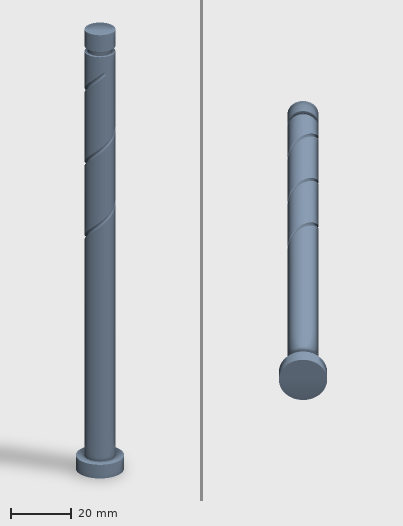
import cadquery as cq
import math

total_height = 160.0
head_diameter = 16.0
head_height = 5.0
shaft_diameter = 10.2
shaft_radius = shaft_diameter / 2

tip_height = 6.0
ring_groove_width = 2.0
ring_groove_diameter = 8.2

helix_pitch = 26.7
helix_turns = 2.75
helix_start_z = 72.3
helix_start_angle = 90.0
helix_groove_radius = 0.6


def make_pin():
    head = cq.Workplane("XY").circle(head_diameter / 2).extrude(head_height)
    shaft = cq.Workplane("XY").circle(shaft_radius).extrude(total_height)
    return head.union(shaft)


def make_ring_groove():
    groove_bottom = total_height - tip_height - ring_groove_width
    return (
        cq.Workplane("XY", origin=(0, 0, groove_bottom))
        .circle(shaft_diameter)
        .circle(ring_groove_diameter / 2)
        .extrude(ring_groove_width)
    )


def make_helical_groove():
    path = cq.Wire.makeHelix(helix_pitch, helix_pitch * helix_turns, shaft_radius)
    tangent = cq.Vector(0, 2 * math.pi * shaft_radius, helix_pitch)
    section_plane = cq.Plane(origin=(shaft_radius, 0, 0), xDir=(1, 0, 0), normal=tangent)
    groove = cq.Workplane(section_plane).circle(helix_groove_radius).sweep(path, isFrenet=True)
    return groove.rotate((0, 0, 0), (0, 0, 1), helix_start_angle).translate((0, 0, helix_start_z))


result = make_pin().cut(make_ring_groove()).cut(make_helical_groove())